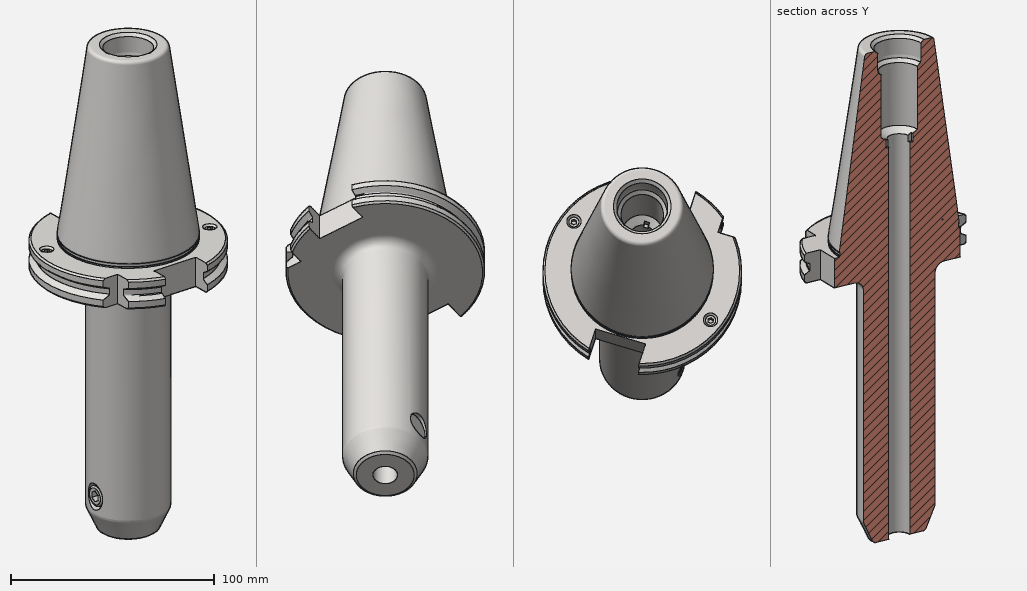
import cadquery as cq
import math

TAPER_LENGTH = 101.75
NOSE_Z = -160.0
FLANGE_TOP_Z = -3.2
FLANGE_BOTTOM_Z = -19.1

GAUGE_RADIUS = 69.85 / 2
TAPER_RATE = 7 / 24
TAPER_TIP_RADIUS = GAUGE_RADIUS - TAPER_LENGTH * TAPER_RATE / 2
TAPER_TIP_FILLET = 2.0
COLLAR_GROOVE_TOP_Z = -0.9
COLLAR_GROOVE_WIDTH = 1.6
COLLAR_GROOVE_DEPTH = 0.4

FLANGE_RADIUS = 97.5 / 2
FLANGE_CHAMFER = 1.0
GROOVE_Z = -11.1
GROOVE_FLOOR_RADIUS = 91.25 / 2
GROOVE_FLOOR_WIDTH = 3.5
GROOVE_FLANK_ANGLE = 30.0
GROOVE_FLOOR_FILLET = 0.6

SLOT_WIDTH = 25.7
LEFT_SLOT_X = -35.5
RIGHT_SLOT_X = 37.7
NOTCH_X = 30.0
NOTCH_Y = -29.5

SHANK_RADIUS = 21.0
SHANK_FILLET = 5.0
NOSE_CONE_Z = -147.5
NOSE_RADIUS = 15.2
NOSE_CHAMFER = 1.0
NOSE_SHOULDER_FILLET = 3.0

TOOL_BORE_RADIUS = 6.0
COUNTERBORE_RADIUS = 12.5
COUNTERBORE_DEPTH = 10.3
COUNTERBORE_CHAMFER = 1.6
STUD_BORE_RADIUS = 10.4
SEAT_STEP_RADIUS = 12.2
SEAT_STEP_LENGTH = 1.5
STUD_BORE_DEPTH = 47.0
DRILL_POINT_ANGLE = 118.0
RELIEF_LENGTH = 15.4
RELIEF_WIDTH = 2.4
RELIEF_DEPTH = 6.0

COOLANT_CIRCLE_RADIUS = 42.0
COOLANT_ANGLE = 70.4
COOLANT_RADIUS = 2.5
COOLANT_CHAMFER = 1.0
PLUG_SOCKET_ACROSS_FLATS = 2.5
PLUG_SOCKET_DEPTH = 2.5
PORT_RADIUS = 1.25

SCREW_Z = NOSE_Z + 22.5
SCREW_MOUTH_RADIUS = 7.1
SCREW_RADIUS = 5.4
SCREW_EDGE_DEPTH = 1.0
SCREW_FACE_RADIUS = 4.35
SCREW_FACE_DEPTH = 0.4
SOCKET_ACROSS_FLATS = 5.0
SOCKET_DEPTH = 4.0

REAR_RECESS_RADIUS = 6.8
REAR_RECESS_DEPTH = 2.0

CUT_MARGIN = 5.0


def revolve_profile(points):
    """Revolve a closed (radius, z) outline about the Z axis."""
    return cq.Workplane("XZ").polyline(points).close().revolve(360, (0, 0), (0, 1))


def make_taper():
    """Taper cone on a short grooved collar that runs down inside the flange."""
    groove_radius = GAUGE_RADIUS - COLLAR_GROOVE_DEPTH
    groove_bottom_z = COLLAR_GROOVE_TOP_Z - COLLAR_GROOVE_WIDTH
    taper = revolve_profile([
        (0, FLANGE_BOTTOM_Z),
        (GAUGE_RADIUS, FLANGE_BOTTOM_Z),
        (GAUGE_RADIUS, groove_bottom_z),
        (groove_radius, groove_bottom_z),
        (groove_radius, COLLAR_GROOVE_TOP_Z),
        (GAUGE_RADIUS, COLLAR_GROOVE_TOP_Z),
        (GAUGE_RADIUS, 0),
        (TAPER_TIP_RADIUS, TAPER_LENGTH),
        (0, TAPER_LENGTH),
    ])
    return taper.faces(">Z").edges().fillet(TAPER_TIP_FILLET)


def make_flange():
    """Chamfered flange ring with a V-shaped gripper groove."""
    groove_depth = FLANGE_RADIUS - GROOVE_FLOOR_RADIUS
    floor_half = GROOVE_FLOOR_WIDTH / 2
    mouth_half = floor_half + groove_depth * math.tan(math.radians(GROOVE_FLANK_ANGLE))
    chamfer_radius = FLANGE_RADIUS - FLANGE_CHAMFER
    flange = revolve_profile([
        (0, FLANGE_BOTTOM_Z),
        (chamfer_radius, FLANGE_BOTTOM_Z),
        (FLANGE_RADIUS, FLANGE_BOTTOM_Z + FLANGE_CHAMFER),
        (FLANGE_RADIUS, GROOVE_Z - mouth_half),
        (GROOVE_FLOOR_RADIUS, GROOVE_Z - floor_half),
        (GROOVE_FLOOR_RADIUS, GROOVE_Z + floor_half),
        (FLANGE_RADIUS, GROOVE_Z + mouth_half),
        (FLANGE_RADIUS, FLANGE_TOP_Z - FLANGE_CHAMFER),
        (chamfer_radius, FLANGE_TOP_Z),
        (0, FLANGE_TOP_Z),
    ])
    floor_edges = cq.selectors.RadiusNthSelector(0)
    return flange.edges("%CIRCLE").edges(floor_edges).fillet(GROOVE_FLOOR_FILLET)


def flange_cut(x_range, y_range):
    """Block through the full flange thickness, between the given X and Y limits."""
    height = FLANGE_TOP_Z - FLANGE_BOTTOM_Z
    size_x = x_range[1] - x_range[0]
    size_y = y_range[1] - y_range[0]
    block = cq.Workplane("XY").box(size_x, size_y, height, centered=False)
    return block.translate((x_range[0], y_range[0], FLANGE_BOTTOM_Z))


def cut_flange_slots(flange):
    """Cut the two drive slots and the orientation notch."""
    outside = FLANGE_RADIUS + CUT_MARGIN
    slot_half = SLOT_WIDTH / 2
    flange = flange.cut(flange_cut((-outside, LEFT_SLOT_X), (-slot_half, slot_half)))
    flange = flange.cut(flange_cut((RIGHT_SLOT_X, outside), (-slot_half, slot_half)))
    return flange.cut(flange_cut((NOTCH_X, outside), (-outside, NOTCH_Y)))


def hexagon_diameter(across_flats):
    """Corner-to-corner size of a hexagon."""
    return across_flats / math.cos(math.pi / 6)


def make_coolant_cutters():
    """Plugged coolant hole: chamfered mouth, plug socket and radial port to the groove."""
    plug_z = FLANGE_TOP_Z - COOLANT_CHAMFER
    mouth = revolve_profile([
        (0, FLANGE_TOP_Z),
        (COOLANT_RADIUS + COOLANT_CHAMFER, FLANGE_TOP_Z),
        (COOLANT_RADIUS, plug_z),
        (0, plug_z),
    ])
    socket = (
        cq.Workplane("XY", origin=(0, 0, plug_z))
        .polygon(6, hexagon_diameter(PLUG_SOCKET_ACROSS_FLATS))
        .extrude(-PLUG_SOCKET_DEPTH)
    )
    port = (
        cq.Workplane("YZ", origin=(0, 0, GROOVE_Z))
        .circle(PORT_RADIUS)
        .extrude(FLANGE_RADIUS - COOLANT_CIRCLE_RADIUS)
    )
    return [cutter.translate((COOLANT_CIRCLE_RADIUS, 0, 0)) for cutter in (mouth.union(socket), port)]


def make_shank():
    """Straight shank, filleted under the flange and coned at the nose."""
    top = FLANGE_BOTTOM_Z
    cone_slope = (SHANK_RADIUS - NOSE_RADIUS) / (NOSE_CONE_Z - NOSE_Z)
    arc_offset = SHANK_FILLET * (1 - math.sqrt(0.5))
    shank = (
        cq.Workplane("XZ")
        .moveTo(0, top)
        .lineTo(SHANK_RADIUS + SHANK_FILLET, top)
        .threePointArc(
            (SHANK_RADIUS + arc_offset, top - arc_offset),
            (SHANK_RADIUS, top - SHANK_FILLET),
        )
        .lineTo(SHANK_RADIUS, NOSE_CONE_Z)
        .lineTo(NOSE_RADIUS + NOSE_CHAMFER * cone_slope, NOSE_Z + NOSE_CHAMFER)
        .lineTo(NOSE_RADIUS - NOSE_CHAMFER, NOSE_Z)
        .lineTo(0, NOSE_Z)
        .close()
        .revolve(360, (0, 0), (0, 1))
    )
    shoulder = cq.selectors.NearestToPointSelector((0, 0, NOSE_CONE_Z))
    return shank.edges(shoulder).fillet(NOSE_SHOULDER_FILLET)


def make_central_bore():
    """Stepped stud bore from the taper end running into the through tool bore."""
    step_z = TAPER_LENGTH - COUNTERBORE_DEPTH
    seat_z = step_z - SEAT_STEP_LENGTH
    seat_height = SEAT_STEP_RADIUS - STUD_BORE_RADIUS
    stud_z = TAPER_LENGTH - STUD_BORE_DEPTH
    point_height = (STUD_BORE_RADIUS - TOOL_BORE_RADIUS) / math.tan(math.radians(DRILL_POINT_ANGLE / 2))
    return revolve_profile([
        (0, TAPER_LENGTH),
        (COUNTERBORE_RADIUS + COUNTERBORE_CHAMFER, TAPER_LENGTH),
        (COUNTERBORE_RADIUS, TAPER_LENGTH - COUNTERBORE_CHAMFER),
        (COUNTERBORE_RADIUS, step_z),
        (SEAT_STEP_RADIUS, seat_z),
        (STUD_BORE_RADIUS, seat_z - seat_height),
        (STUD_BORE_RADIUS, stud_z),
        (TOOL_BORE_RADIUS, stud_z - point_height),
        (TOOL_BORE_RADIUS, NOSE_Z),
        (0, NOSE_Z),
    ])


def make_bore_relief():
    """Narrow cross slot sunk into the drill point at the bottom of the stud bore."""
    block = cq.Workplane("XY").box(RELIEF_LENGTH, RELIEF_WIDTH, RELIEF_DEPTH)
    return block.translate((0, 0, TAPER_LENGTH - STUD_BORE_DEPTH - RELIEF_DEPTH / 2))


def make_screw_recess():
    """Countersunk mouth, chamfered screw end and hexagon socket on the -Y side."""
    edge_y = SHANK_RADIUS - SCREW_EDGE_DEPTH
    face_y = SHANK_RADIUS - SCREW_FACE_DEPTH
    slope = (SCREW_MOUTH_RADIUS - SCREW_RADIUS) / SCREW_EDGE_DEPTH
    outer_y = SHANK_RADIUS + CUT_MARGIN
    outer_radius = SCREW_MOUTH_RADIUS + CUT_MARGIN * slope
    mouth = revolve_profile([
        (0, face_y),
        (SCREW_FACE_RADIUS, face_y),
        (SCREW_RADIUS, edge_y),
        (outer_radius, outer_y),
        (0, outer_y),
    ]).rotate((0, 0, 0), (1, 0, 0), 90)
    socket = (
        cq.Workplane("XZ", origin=(0, -face_y, 0))
        .transformed(rotate=(0, 0, 90))
        .polygon(6, hexagon_diameter(SOCKET_ACROSS_FLATS))
        .extrude(-SOCKET_DEPTH)
    )
    return mouth.union(socket).translate((0, 0, SCREW_Z))


def make_rear_recess():
    """Flat-bottomed round recess on the +Y side, level with the screw."""
    floor_y = SHANK_RADIUS - REAR_RECESS_DEPTH
    return (
        cq.Workplane("XZ", origin=(0, floor_y, SCREW_Z))
        .circle(REAR_RECESS_RADIUS)
        .extrude(-(REAR_RECESS_DEPTH + CUT_MARGIN))
    )


flange = cut_flange_slots(make_flange())
body = make_taper().union(flange).union(make_shank())
for turn in (COOLANT_ANGLE, COOLANT_ANGLE + 180):
    for cutter in make_coolant_cutters():
        body = body.cut(cutter.rotate((0, 0, 0), (0, 0, 1), turn))
body = body.cut(make_central_bore()).cut(make_bore_relief())
result = body.cut(make_screw_recess()).cut(make_rear_recess())